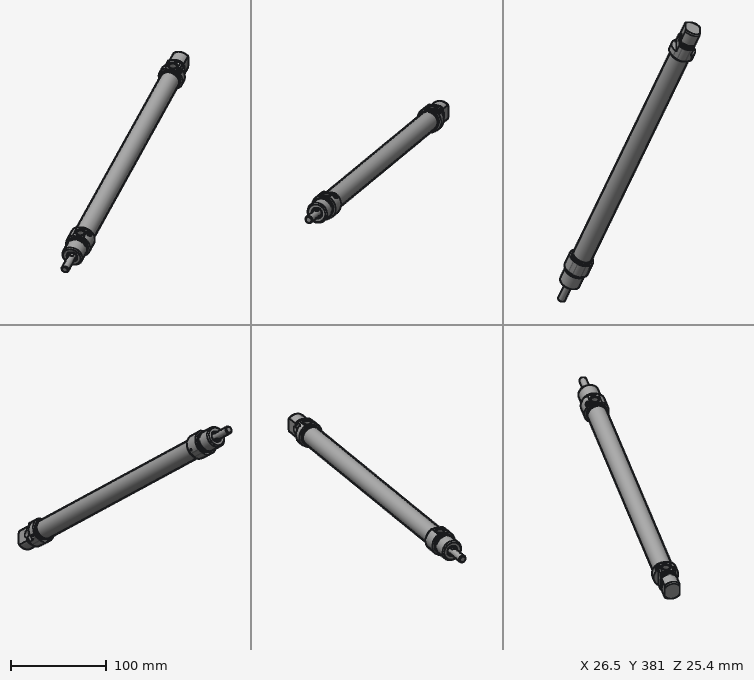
import cadquery as cq
import math


REAR_END_Y = 190.5
FRONT_END_Y = -190.5
TUBE_REAR_Y = 153.0
TUBE_FRONT_Y = -129.0

TUBE_DIAMETER = 21.5
TUBE_BORE = 20.0

CAP_DIAMETER = 26.5
CAP_LENGTH = 15.5
PORT_FACE_WIDTH = 12.0
CAP_TOP_FLAT = math.sqrt((CAP_DIAMETER / 2)**2 - (PORT_FACE_WIDTH / 2)**2)
KEEL_SIDE = 13.0
KEEL_TILT = 30.0
KEEL_NOSE_RADIUS = 9.0
LIP_LENGTH = 2.3
NECK_DIAMETER = 22.0
GROOVE_DIAMETER = 20.0
GROOVE_WIDTH = 2.3
COLLAR_LENGTH = 1.0
NECK_CHAMFER = 1.5
FRONT_FACE_Y = -167.3

TONGUE_WIDTH = 16.0
TONGUE_FLAT_LENGTH = 27.5
PIN_HOLE_DIAMETER = 8.0
PIN_HOLE_FROM_END = 16.0

PORT_DIAMETER = 8.0
PORT_MOUTH_DIAMETER = 10.0
PORT_MOUTH_DEPTH = 0.8
PORT_FROM_TUBE = 7.5

SCREW_ANGLE = 50.0
SCREW_FROM_TUBE = 4.2
SCREW_POCKET_DIAMETER = 6.0
SCREW_POCKET_FLOOR = 11.0
SCREW_DIAMETER = 3.5
SCREW_TIP = 7.5
SCREW_HEAD = 12.0

BLEED_DIAMETER = 2.0
BLEED_ANGLE = 214.0
BLEED_DEPTH = 2.0

ROD_DIAMETER = 8.0
ROD_REAR_Y = 167.5
ROD_TIP_CHAMFER = 0.95
WRENCH_WIDTH = 7.0
WRENCH_FRONT_FROM_FACE = 3.0
SEAL_DIAMETER = 12.0
SEAL_LENGTH = 3.0
SEAL_RECESS = 2.0
SEAL_MOUTH_DIAMETER = 10.0
SEAL_MOUTH_DEPTH = 1.5


def rod_along_y(diameter, y_start, y_end):
    """Solid cylinder on the Y axis between two stations."""
    low = min(y_start, y_end)
    return cq.Workplane(cq.Solid.makeCylinder(
        diameter / 2, abs(y_end - y_start), cq.Vector(0, low, 0), cq.Vector(0, 1, 0)))


def radial_cylinder(diameter, inner, outer, y, angle):
    """Cylinder pointing away from the Y axis, between two distances from it."""
    outward = cq.Vector(math.cos(math.radians(angle)), 0, math.sin(math.radians(angle)))
    return cq.Workplane(cq.Solid.makeCylinder(
        diameter / 2, outer - inner, outward * inner + cq.Vector(0, y, 0), outward))


def cap_block(y_low):
    """Round cap block with a flat port face on top and a keel with slanted sides and a round nose."""
    radius = CAP_DIAMETER / 2
    tilt = math.radians(KEEL_TILT)
    side_angle = tilt + math.acos(KEEL_SIDE / radius)
    side_x = radius * math.sin(side_angle)
    side_z = -radius * math.cos(side_angle)
    nose_center_z = -(KEEL_SIDE - KEEL_NOSE_RADIUS) / math.cos(tilt)
    nose_x = KEEL_NOSE_RADIUS * math.sin(tilt)
    nose_z = nose_center_z - KEEL_NOSE_RADIUS * math.cos(tilt)
    top_x = PORT_FACE_WIDTH / 2
    outline = (
        cq.Workplane("XZ", origin=(0, y_low + CAP_LENGTH, 0))
        .moveTo(-top_x, CAP_TOP_FLAT)
        .lineTo(top_x, CAP_TOP_FLAT)
        .threePointArc((radius, 0), (side_x, side_z))
        .lineTo(nose_x, nose_z)
        .threePointArc((0, nose_center_z - KEEL_NOSE_RADIUS), (-nose_x, nose_z))
        .lineTo(-side_x, side_z)
        .threePointArc((-radius, 0), (-top_x, CAP_TOP_FLAT))
        .close()
    )
    return outline.extrude(CAP_LENGTH)


def neck(y_cap, y_end):
    """Round neck from a cap face outwards: collar, relief groove, then a body with a chamfered end."""
    out = 1 if y_end > y_cap else -1
    neck_radius = NECK_DIAMETER / 2
    groove_radius = GROOVE_DIAMETER / 2
    y_collar = y_cap + out * COLLAR_LENGTH
    y_groove_end = y_collar + out * GROOVE_WIDTH
    outline = [
        (0, y_cap),
        (neck_radius, y_cap),
        (neck_radius, y_collar),
        (groove_radius, y_collar),
        (groove_radius, y_groove_end),
        (neck_radius, y_groove_end),
        (neck_radius, y_end - out * NECK_CHAMFER),
        (neck_radius - NECK_CHAMFER, y_end),
        (0, y_end),
    ]
    return cq.Workplane("XY").polyline(outline).close().revolve(360, (0, 0, 0), (0, 1, 0))


def cut_cap_fittings(cap, y_tube, out):
    """Port, cushion screw pocket and bleed hole; `out` is the Y direction away from the tube."""
    y_port = y_tube + out * (LIP_LENGTH + PORT_FROM_TUBE)
    y_screw = y_tube + out * (LIP_LENGTH + SCREW_FROM_TUBE)
    beyond = CAP_DIAMETER
    up = 90
    cap = cap.cut(radial_cylinder(PORT_DIAMETER, 0, beyond, y_port, up))
    mouth_floor = CAP_TOP_FLAT - PORT_MOUTH_DEPTH
    cap = cap.cut(radial_cylinder(PORT_MOUTH_DIAMETER, mouth_floor, beyond, y_port, up))
    cap = cap.cut(radial_cylinder(SCREW_POCKET_DIAMETER, SCREW_POCKET_FLOOR, beyond, y_screw, SCREW_ANGLE))
    cap = cap.cut(radial_cylinder(SCREW_DIAMETER, SCREW_TIP, beyond, y_screw, SCREW_ANGLE))
    return cap.cut(radial_cylinder(
        BLEED_DIAMETER, CAP_DIAMETER / 2 - BLEED_DEPTH, beyond, y_screw, BLEED_ANGLE))


def make_tube():
    return rod_along_y(TUBE_DIAMETER, TUBE_FRONT_Y, TUBE_REAR_Y).cut(
        rod_along_y(TUBE_BORE, TUBE_FRONT_Y, TUBE_REAR_Y))


def make_front_cap():
    y_back = TUBE_FRONT_Y - LIP_LENGTH
    y_face = y_back - CAP_LENGTH
    cap = cap_block(y_face).union(rod_along_y(NECK_DIAMETER, y_back, TUBE_FRONT_Y))
    cap = cap.union(neck(y_face, FRONT_FACE_Y))
    cap = cap.cut(rod_along_y(ROD_DIAMETER, FRONT_FACE_Y, TUBE_FRONT_Y))
    cap = cap.cut(rod_along_y(SEAL_DIAMETER, FRONT_FACE_Y, FRONT_FACE_Y + SEAL_RECESS + SEAL_LENGTH))
    return cut_cap_fittings(cap, TUBE_FRONT_Y, -1)


def make_rear_cap():
    y_front = TUBE_REAR_Y + LIP_LENGTH
    y_face = y_front + CAP_LENGTH
    cap = cap_block(y_front).union(rod_along_y(NECK_DIAMETER, TUBE_REAR_Y, y_front))
    cap = cap.union(neck(y_face, REAR_END_Y))
    cap = cap.cut(rod_along_y(ROD_DIAMETER, TUBE_REAR_Y, ROD_REAR_Y))
    for side in (-1, 1):
        cheek = cq.Workplane().box(CAP_DIAMETER, TONGUE_FLAT_LENGTH, 2 * CAP_DIAMETER)
        cap = cap.cut(cheek.translate((
            side * (TONGUE_WIDTH + CAP_DIAMETER) / 2, REAR_END_Y - TONGUE_FLAT_LENGTH / 2, 0)))
    y_pin = REAR_END_Y - PIN_HOLE_FROM_END
    cap = cap.cut(radial_cylinder(PIN_HOLE_DIAMETER, -CAP_DIAMETER, CAP_DIAMETER, y_pin, 0))
    return cut_cap_fittings(cap, TUBE_REAR_Y, 1)


def make_rod():
    rod = rod_along_y(ROD_DIAMETER, FRONT_END_Y, ROD_REAR_Y).faces("<Y").chamfer(ROD_TIP_CHAMFER)
    flat_front = FRONT_FACE_Y - WRENCH_FRONT_FROM_FACE
    flat_back = FRONT_FACE_Y + SEAL_RECESS
    for side in (-1, 1):
        cutter = cq.Workplane().box(ROD_DIAMETER, flat_back - flat_front, ROD_DIAMETER)
        rod = rod.cut(cutter.translate((
            0, (flat_front + flat_back) / 2, side * (WRENCH_WIDTH + ROD_DIAMETER) / 2)))
    return rod


def make_seal():
    y_front = FRONT_FACE_Y + SEAL_RECESS
    y_back = y_front + SEAL_LENGTH
    ring = rod_along_y(SEAL_DIAMETER, y_front, y_back).cut(rod_along_y(ROD_DIAMETER, y_front, y_back))
    return ring.cut(rod_along_y(SEAL_MOUTH_DIAMETER, y_front, y_front + SEAL_MOUTH_DEPTH))


def make_screw(y_tube, out):
    y = y_tube + out * (LIP_LENGTH + SCREW_FROM_TUBE)
    return radial_cylinder(SCREW_DIAMETER, SCREW_TIP, SCREW_HEAD, y, SCREW_ANGLE)


tube = make_tube()
front_cap = make_front_cap()
rear_cap = make_rear_cap()
rod = make_rod()
seal = make_seal()
screws = [make_screw(y_tube, out) for y_tube, out in ((TUBE_FRONT_Y, -1), (TUBE_REAR_Y, 1))]

result = cq.Compound.makeCompound([
    tube.val(),
    front_cap.val(),
    rear_cap.val(),
    rod.val(),
    seal.val(),
    *[screw.val() for screw in screws],
])